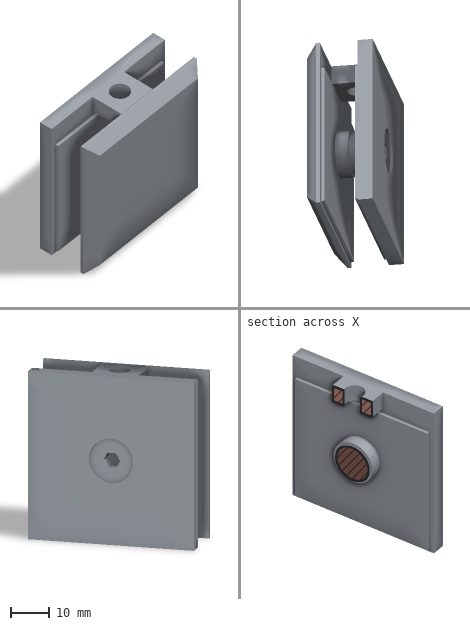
import cadquery as cq


plate_size = 45.0
plate_thickness = 4.0
bevel = 3.0
clamp_depth = 18.0

gasket_thickness = 1.0
gasket_side_margin = 1.5
gasket_top_margin = 6.5
gasket_bottom_margin = 1.0

boss_diameter = 12.25
boss_gap = 1.0

arm_width = 12.5
arm_height = 5.0
arm_clearance = 0.1
arm_hole_diameter = 5.8
arm_hole_x = 8.0

head_diameter = 12.0
head_recess = 0.7
head_height = 2.25
shank_diameter = 10.5
socket_across_corners = 4.65
socket_depth = 4.5

front_inner_x = plate_thickness
rear_inner_x = clamp_depth - plate_thickness
middle_x = clamp_depth / 2
boss_length = (rear_inner_x - front_inner_x - boss_gap) / 2
shank_start_x = head_recess + head_height
shank_end_x = clamp_depth - bevel


def cylinder_x(diameter, start_x, end_x):
    """Cylinder on the screw axis."""
    return cq.Workplane("YZ", origin=(start_x, 0, 0)).circle(diameter / 2).extrude(end_x - start_x)


def plate(start_x):
    """Square plate centred on the screw axis."""
    return cq.Workplane("YZ", origin=(start_x, 0, 0)).rect(plate_size, plate_size).extrude(plate_thickness)


def make_arm():
    """Block that reaches from the front plate towards the rear plate, with a vertical hole."""
    length = rear_inner_x - arm_clearance - front_inner_x
    bottom_z = plate_size / 2 - arm_height
    block = cq.Workplane("XY").box(length, arm_width, arm_height, centered=(False, True, False))
    block = block.translate((front_inner_x, 0, bottom_z))
    hole = cq.Workplane("XY", origin=(arm_hole_x, 0, bottom_z)).circle(arm_hole_diameter / 2)
    return block.cut(hole.extrude(arm_height))


def make_front_clamp():
    """Front plate with arm and boss, bored for the screw head and shank."""
    boss = cylinder_x(boss_diameter, front_inner_x, front_inner_x + boss_length)
    head_bore = cylinder_x(head_diameter, 0, shank_start_x)
    shank_bore = cylinder_x(shank_diameter, shank_start_x, middle_x)
    return plate(0).union(boss).union(make_arm()).cut(head_bore).cut(shank_bore)


def make_rear_clamp():
    """Bevelled rear plate with boss and a blind hole for the shank."""
    bevelled_plate = plate(rear_inner_x).faces(">X").chamfer(bevel)
    boss = cylinder_x(boss_diameter, rear_inner_x - boss_length, rear_inner_x)
    shank_bore = cylinder_x(shank_diameter, middle_x, shank_end_x)
    return bevelled_plate.union(boss).cut(shank_bore)


def make_gasket(start_x):
    """Thin pad on the inner face of a plate, fitted around the boss."""
    width = plate_size - 2 * gasket_side_margin
    height = plate_size - gasket_top_margin - gasket_bottom_margin
    center_z = (gasket_bottom_margin - gasket_top_margin) / 2
    pad = cq.Workplane("YZ", origin=(start_x, 0, 0)).center(0, center_z).rect(width, height)
    boss_hole = cylinder_x(boss_diameter, start_x, start_x + gasket_thickness)
    return pad.extrude(gasket_thickness).cut(boss_hole)


def make_screw():
    """Screw with a cylindrical head and a hexagon socket."""
    head = cylinder_x(head_diameter, head_recess, shank_start_x)
    shank = cylinder_x(shank_diameter, shank_start_x, shank_end_x)
    socket = cq.Workplane("YZ", origin=(head_recess, 0, 0)).polygon(6, socket_across_corners)
    return head.union(shank).cut(socket.extrude(socket_depth))


front_clamp = make_front_clamp()
rear_clamp = make_rear_clamp()
screw = make_screw()
gasket_starts = (front_inner_x, rear_inner_x - gasket_thickness)
gaskets = [make_gasket(start_x).val() for start_x in gasket_starts]

result = cq.Compound.makeCompound([front_clamp.val(), rear_clamp.val(), screw.val(), *gaskets])